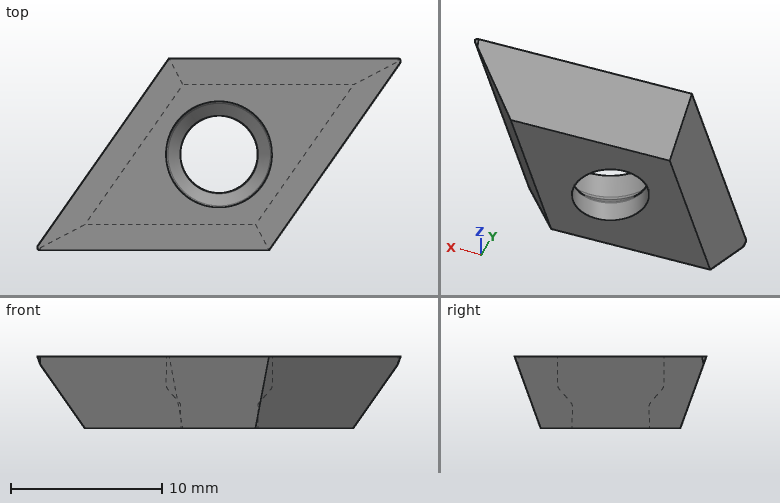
import cadquery as cq
import math

length = 24.03
thickness = 4.75
nose_angle = 55.0
clearance_angle = 20.0
nose_radius = 0.2

bore_diameter = 7.02
hole_diameter = 5.1
bore_depth = 2.05
cone_half_angle = 41.0
bore_blend_radius = 0.48
hole_blend_radius = 0.2

half_cot = 1 / math.tan(math.radians(nose_angle / 2))
sharp_length = length + 2 * nose_radius * (half_cot - 1)
width = sharp_length / half_cot
side = width / math.sin(math.radians(nose_angle))
half_length = sharp_length / 2
half_width = width / 2

nose_depth = nose_radius / math.tan(math.radians(clearance_angle))


def make_body():
    """Sharp-cornered rhombus, top face at Z = 0, narrowing downward."""
    outline = [
        (-half_length, -half_width),
        (-half_length + side, -half_width),
        (half_length, half_width),
        (half_length - side, half_width),
    ]
    return cq.Workplane("XY").polyline(outline).close().extrude(-thickness, taper=clearance_angle)


def make_nose_waste():
    """Material outside the conical rounding of the nose at -X, -Y."""
    center_x = -half_length + nose_radius * half_cot
    center_y = -half_width + nose_radius
    tangent_angle = math.radians(90 + nose_angle)
    tangent_x = center_x + nose_radius * math.cos(tangent_angle)
    tangent_y = center_y + nose_radius * math.sin(tangent_angle)
    corner = [
        (center_x, center_y),
        (tangent_x, tangent_y),
        (-half_length, -half_width),
        (center_x, -half_width),
    ]
    apex = cq.Vector(center_x, center_y, -nose_depth)
    rim = [cq.Vector(x, y, 0) for x, y in corner]
    faces = [cq.Face.makeFromWires(cq.Wire.makePolygon(rim, close=True))]
    for start, end in zip(rim, rim[1:] + rim[:1]):
        faces.append(cq.Face.makeFromWires(cq.Wire.makePolygon([start, end, apex], close=True)))
    pyramid = cq.Solid.makeSolid(cq.Shell.makeShell(faces))
    cone = cq.Solid.makeCone(0, nose_radius, nose_depth, pnt=apex)
    return cq.Workplane(obj=pyramid).cut(cq.Workplane(obj=cone))


def make_screw_seat():
    """Revolved bore, cone and through hole with blended transitions."""
    bore_radius = bore_diameter / 2
    hole_radius = hole_diameter / 2
    cone_height = (bore_radius - hole_radius) / math.tan(math.radians(cone_half_angle))
    cone_end = bore_depth + cone_height
    profile = [
        (0, 0),
        (bore_radius, 0),
        (bore_radius, -bore_depth),
        (hole_radius, -cone_end),
        (hole_radius, -thickness),
        (0, -thickness),
    ]
    seat = cq.Workplane("XZ").polyline(profile).close().revolve(360, (0, 0), (0, 1))
    bore_edge = cq.selectors.RadiusNthSelector(-1)
    seat = seat.faces("%CONE").edges("%CIRCLE").edges(bore_edge).fillet(bore_blend_radius)
    hole_edge = cq.selectors.RadiusNthSelector(0)
    return seat.faces("%CONE").edges("%CIRCLE").edges(hole_edge).fillet(hole_blend_radius)


nose_waste = make_nose_waste()
result = make_body().cut(make_screw_seat())
for turn in (0, 180):
    result = result.cut(nose_waste.rotate((0, 0, 0), (0, 0, 1), turn))